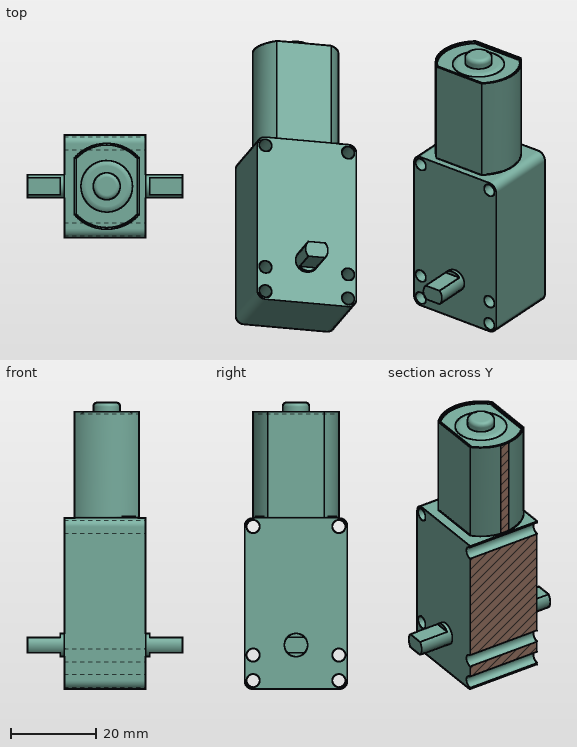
import cadquery as cq

housing_x = 19.0
housing_y = 24.1
housing_z = 40.1
corner_radius = 2.0

hole_diameter = 3.0
hole_inset = 2.0
middle_hole_z = 8.0

shaft_length = 36.4
shaft_z = 10.35
shaft_diameter = 5.45
flat_thickness = 3.6
round_length = 1.0

can_diameter = 20.15
can_flat_width = 15.2
can_height = 24.9
can_offset_x = 0.4
can_top = housing_z + can_height
can_bottom_fillet = 0.4

rim_width = 0.4
recess_depth = 0.5
ring_outer_radius = 6.05
ring_inner_radius = 4.85
total_height = 67.15
boss_radius = 3.15
boss_fillet = 1.0


def flatted_cylinder(diameter, flat_width, height, base_z):
    """Upright cylinder with a flat on its -X and +X sides."""
    cylinder = cq.Workplane("XY").workplane(offset=base_z).circle(diameter / 2).extrude(height)
    slab = cq.Workplane("XY").workplane(offset=base_z).rect(flat_width, diameter).extrude(height)
    return cylinder.intersect(slab)


def x_cylinder(diameter, length, y, z):
    """Cylinder along X, centred on X = 0."""
    return cq.Workplane("YZ").center(y, z).circle(diameter / 2).extrude(length / 2, both=True)


def make_housing():
    housing = cq.Workplane("XY").box(housing_x, housing_y, housing_z, centered=(True, True, False))
    housing = housing.edges("|X").fillet(corner_radius)
    hole_y = housing_y / 2 - hole_inset
    for z in (hole_inset, middle_hole_z, housing_z - hole_inset):
        for y in (-hole_y, hole_y):
            housing = housing.cut(x_cylinder(hole_diameter, housing_x, y, z))
    return housing


def make_shaft():
    shaft = x_cylinder(shaft_diameter, shaft_length, 0, shaft_z)
    flats = cq.Workplane("XY").box(shaft_length, shaft_diameter, flat_thickness)
    flatted_shaft = shaft.intersect(flats.translate((0, 0, shaft_z)))
    round_middle = x_cylinder(shaft_diameter, housing_x + 2 * round_length, 0, shaft_z)
    return flatted_shaft.union(round_middle)


def make_can():
    can = flatted_cylinder(can_diameter, can_flat_width, can_height, housing_z)
    can = can.faces("<Z").edges().fillet(can_bottom_fillet)
    recess = flatted_cylinder(
        can_diameter - 2 * rim_width,
        can_flat_width - 2 * rim_width,
        recess_depth,
        can_top - recess_depth,
    )
    return can.cut(recess)


def make_ring():
    """Low disc whose edge curves down from its flat top to the recess floor."""
    return (
        cq.Workplane("XZ")
        .moveTo(0, can_top - recess_depth)
        .lineTo(0, can_top)
        .lineTo(ring_inner_radius, can_top)
        .tangentArcPoint((ring_outer_radius, can_top - recess_depth), relative=False)
        .close()
        .revolve(360, (0, 0), (0, 1))
    )


def make_boss():
    base_z = can_top - recess_depth
    boss = cq.Workplane("XY").workplane(offset=base_z).circle(boss_radius).extrude(total_height - base_z)
    return boss.faces(">Z").edges().fillet(boss_fillet)


motor = make_can().union(make_ring()).union(make_boss()).translate((can_offset_x, 0, 0))
result = make_housing().union(make_shaft()).union(motor)